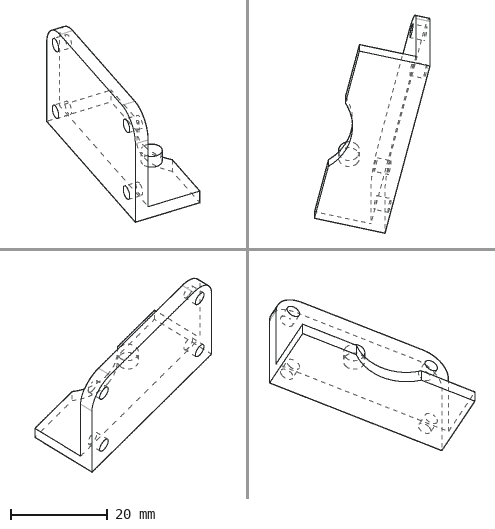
import cadquery as cq

length = 40.0
depth = 15.0
height = 26.0
thickness = 3.0
corner_radius = 6.0

hole_diameter = 2.9
hole_side_inset = 4.0
hole_heights = (5.0, height - hole_side_inset)

pin_diameter = 4.4
pin_height = 2.7
pin_x = 26.0
pin_rear_inset = 4.0

notch_radius = 11.0
notch_depth = 3.0


def make_upright():
    """Upright plate with rounded top corners and four mounting holes."""
    plate = cq.Workplane("XY").box(length, thickness, height, centered=False)
    plate = plate.edges("|Y and >Z").fillet(corner_radius)
    hole_centers = [
        (x, z) for x in (hole_side_inset, length - hole_side_inset) for z in hole_heights
    ]
    holes = (
        cq.Workplane("XZ")
        .pushPoints(hole_centers)
        .circle(hole_diameter / 2)
        .extrude(-thickness)
    )
    return plate.cut(holes)


def make_base():
    """Flat base with the notch cut through its rear edge."""
    base = cq.Workplane("XY").box(length, depth, thickness, centered=False)
    notch = (
        cq.Workplane("XY")
        .center(length / 2, depth - notch_depth + notch_radius)
        .circle(notch_radius)
        .extrude(thickness)
    )
    return base.cut(notch)


def make_pin():
    """Pin rooted in the base and standing above its top face."""
    return (
        cq.Workplane("XY")
        .center(pin_x, depth - pin_rear_inset)
        .circle(pin_diameter / 2)
        .extrude(thickness + pin_height)
    )


result = make_upright().union(make_base()).union(make_pin())